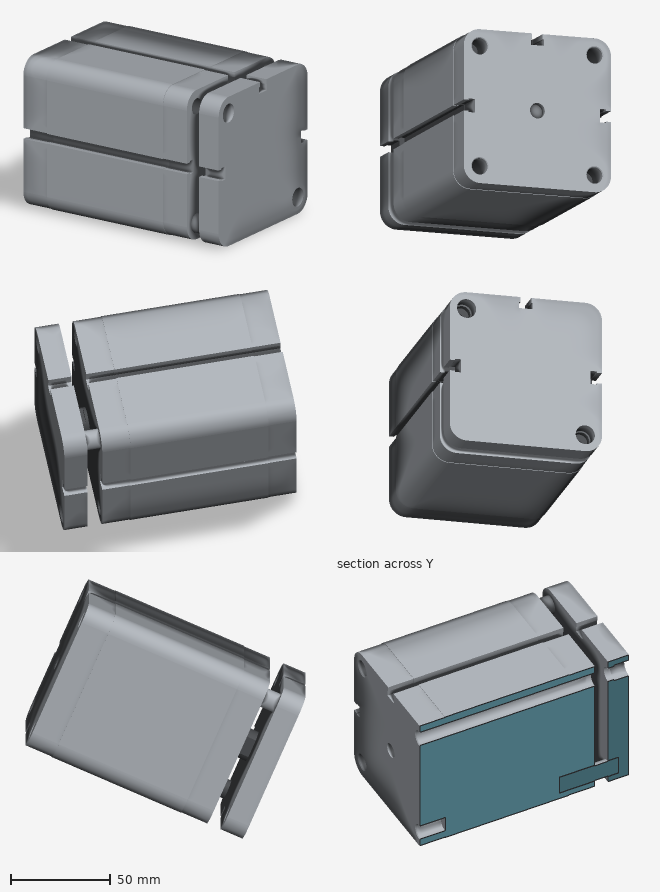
import cadquery as cq


barrel_side = 80.0
cap_side = 79.5
cap_length = 14.5
barrel_length = 71.0
housing_length = barrel_length + 2 * cap_length

plate_gap = 7.5
plate_thickness = 12.0
plate_rear_x = housing_length + plate_gap

slot_head_top = 37.1
cap_slot_opening = 5.6
barrel_slot_opening = 5.2
cap_slot_width = 7.0
barrel_slot_width = 6.5
cap_slot_floor = 33.8
barrel_slot_floor = 34.2

corner_offset = 31.0
mounting_corners = [(corner_offset, -corner_offset), (-corner_offset, corner_offset)]
guide_corners = [(corner_offset, corner_offset), (-corner_offset, -corner_offset)]

mounting_diameter = 8.4
mounting_chamfer = 0.45
counterbore_diameter = 10.0
counterbore_setback = 3.5
blind_hole_depth = cap_length
center_hole_diameter = 8.0
center_hole_depth = 3.8

rod_diameter = 16.0
rod_seat_depth = 20.0
flats_across = 13.0
flats_setback = 1.5

guide_diameter = 10.0
guide_seat_depth = 20.0
guide_plate_depth = plate_thickness / 2


def rounded_block(start_x, length, side):
    """Square block along X, its long edges rounded about the corner pattern's centers."""
    corner_radius = side / 2 - corner_offset
    block = cq.Workplane("YZ").workplane(offset=start_x).rect(side, side).extrude(length)
    return block.edges("|X").fillet(corner_radius)


def cylinders(start_x, length, diameter, centers):
    """Cylinders along +X, one at each (Y, Z) center."""
    return (
        cq.Workplane("YZ").workplane(offset=start_x)
        .pushPoints(centers).circle(diameter / 2).extrude(length)
    )


def t_slots(start_x, length, opening, width, floor):
    """T-slot cutters for the top and the two sides."""
    outer = barrel_side / 2
    profile = [
        (-opening / 2, outer),
        (-opening / 2, slot_head_top),
        (-width / 2, slot_head_top),
        (-width / 2, floor),
        (width / 2, floor),
        (width / 2, slot_head_top),
        (opening / 2, slot_head_top),
        (opening / 2, outer),
    ]
    top_slot = cq.Workplane("YZ").workplane(offset=start_x).polyline(profile).close().extrude(length)
    slots = top_slot
    for angle in (90, -90):
        slots = slots.union(top_slot.rotate((0, 0, 0), (1, 0, 0), angle))
    return slots


def cap_slots(start_x, length):
    return t_slots(start_x, length, cap_slot_opening, cap_slot_width, cap_slot_floor)


def barrel_slots(start_x, length):
    return t_slots(start_x, length, barrel_slot_opening, barrel_slot_width, barrel_slot_floor)


def countersink(y, z):
    """Small chamfer at the rear mouth of the corner hole at (Y, Z)."""
    hole_radius = mounting_diameter / 2
    mouth_radius = hole_radius + mounting_chamfer
    mouth_center = cq.Vector(0, y, z)
    axis = cq.Vector(1, 0, 0)
    return cq.Solid.makeCone(mouth_radius, hole_radius, mounting_chamfer, mouth_center, axis)


def make_housing():
    rear_cap = rounded_block(0, cap_length, cap_side)
    barrel = rounded_block(cap_length, barrel_length, barrel_side)
    front_cap = rounded_block(cap_length + barrel_length, cap_length, cap_side)
    rear_cap = rear_cap.cut(cap_slots(0, cap_length))
    barrel = barrel.cut(barrel_slots(cap_length, barrel_length))
    front_cap = front_cap.cut(cap_slots(cap_length + barrel_length, cap_length))
    housing = rear_cap.union(barrel).union(front_cap)
    housing = housing.cut(cylinders(0, housing_length, mounting_diameter, mounting_corners))
    housing = housing.cut(cylinders(0, blind_hole_depth, mounting_diameter, guide_corners))
    for y, z in mounting_corners + guide_corners:
        housing = housing.cut(cq.Workplane(countersink(y, z)))
    housing = housing.cut(cylinders(0, center_hole_depth, center_hole_diameter, [(0, 0)]))
    rod_seat_x = housing_length - rod_seat_depth
    housing = housing.cut(cylinders(rod_seat_x, rod_seat_depth, rod_diameter, [(0, 0)]))
    guide_seat_x = housing_length - guide_seat_depth
    return housing.cut(cylinders(guide_seat_x, guide_seat_depth, guide_diameter, guide_corners))


def make_plate():
    plate = rounded_block(plate_rear_x, plate_thickness, cap_side)
    plate = plate.cut(cap_slots(plate_rear_x, plate_thickness))
    plate = plate.cut(cylinders(plate_rear_x, plate_thickness, mounting_diameter, mounting_corners))
    counterbore_x = plate_rear_x + counterbore_setback
    counterbore_depth = plate_thickness - counterbore_setback
    plate = plate.cut(cylinders(counterbore_x, counterbore_depth, counterbore_diameter, mounting_corners))
    return plate.cut(cylinders(plate_rear_x, guide_plate_depth, guide_diameter, guide_corners))


def make_piston_rod():
    start_x = housing_length - rod_seat_depth
    rod = cylinders(start_x, plate_rear_x - start_x, rod_diameter, [(0, 0)])
    flats_length = plate_gap - flats_setback
    flat_depth = (rod_diameter - flats_across) / 2
    for side in (1, -1):
        flat = cq.Workplane("XY").box(flats_length, rod_diameter, flat_depth).translate(
            (plate_rear_x - flats_length / 2, 0, side * (flats_across + flat_depth) / 2)
        )
        rod = rod.cut(flat)
    return rod


def make_guide_rod(center):
    start_x = housing_length - guide_seat_depth
    length = guide_seat_depth + plate_gap + guide_plate_depth
    return cylinders(start_x, length, guide_diameter, [center])


housing = make_housing()
plate = make_plate()
piston_rod = make_piston_rod()
guide_rods = [make_guide_rod(center) for center in guide_corners]

result = cq.Compound.makeCompound(
    [housing.val(), plate.val(), piston_rod.val(), *[guide.val() for guide in guide_rods]]
)